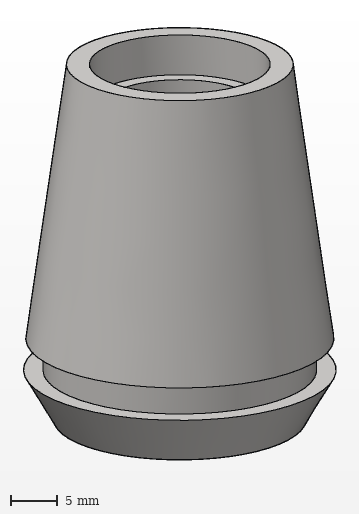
import cadquery as cq
import math

height = 40.0

taper_half_angle = 8.0
taper_base_diameter = 32.9
taper_base_z = 9.1

groove_diameter = 29.2
flange_diameter = 33.35
flange_top_z = 5.55
flange_half_angle = 30.0

bore_diameter = 16.0
counterbore_diameter = 19.3
counterbore_depth = 4.5


def cone_radius(large_diameter, length, half_angle):
    """Small-end radius of a cone with the given large end."""
    return large_diameter / 2 - length * math.tan(math.radians(half_angle))


top_radius = cone_radius(taper_base_diameter, height - taper_base_z, taper_half_angle)
bottom_radius = cone_radius(flange_diameter, flange_top_z, flange_half_angle)

profile = [
    (bore_diameter / 2, 0),
    (bottom_radius, 0),
    (flange_diameter / 2, flange_top_z),
    (groove_diameter / 2, flange_top_z),
    (groove_diameter / 2, taper_base_z),
    (taper_base_diameter / 2, taper_base_z),
    (top_radius, height),
    (counterbore_diameter / 2, height),
    (counterbore_diameter / 2, height - counterbore_depth),
    (bore_diameter / 2, height - counterbore_depth),
]

result = cq.Workplane("XZ").polyline(profile).close().revolve(360, (0, 0), (0, 1))